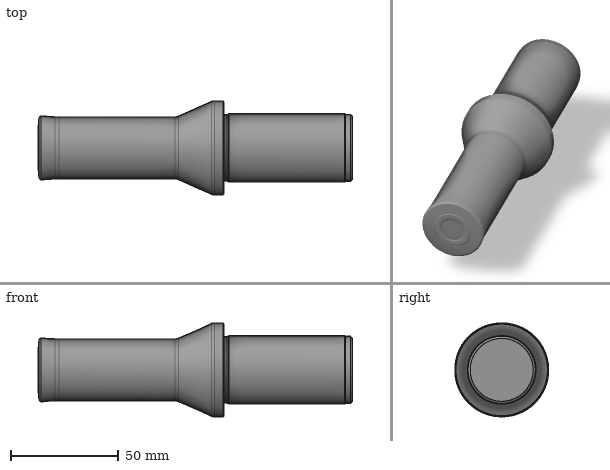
import cadquery as cq

length = 147.0
start = -length / 2

face_rise = 0.5
nose_radius = 15.0
rim_chamfer = 0.9
taper_end = 8.8
taper_blend_radius = 26.5

neck_diameter = 29.0
neck_radius = neck_diameter / 2
cone_start = 64.8
cone_end = 81.7
cone_foot_radius = 4.1
cone_edge_radius = 3.1
collar_diameter = 44.0
collar_radius = collar_diameter / 2
collar_end = 87.0
collar_chamfer = 0.6

relief_radius = 15.6
relief_floor_end = 88.0
relief_shoulder_radius = 15.7
shank_start = 89.2
shank_radius = 16.0
shank_end = 143.3
shank_chamfer = 0.5
tail_radius = 15.7
tail_chamfer = 1.0

plug_radius = 9.0
plug_depth = 5.9
plug_chamfer = 0.5
plug_ring_radius = 6.9
plug_recess_radius = 6.0
plug_dish_depth = 0.1
plug_recess_floor_radius = 5.6
plug_recess_depth = 0.5


def revolve_about_x(profile, blends=()):
    """Turn (distance from the tip, radius) points into a solid of revolution.

    Each blend is a (corner point, blend radius) pair that rounds one profile corner.
    """
    points = [cq.Vector(start + distance, radius) for distance, radius in profile]
    face = cq.Face.makeFromWires(cq.Wire.makePolygon(points, close=True))
    for (distance, radius), blend_radius in blends:
        corner = cq.Vector(start + distance, radius)
        vertex = min(face.Vertices(), key=lambda v: (v.Center() - corner).Length)
        face = face.fillet2D(blend_radius, [vertex])
    axis_start = cq.Vector(0, 0, 0)
    axis_end = cq.Vector(1, 0, 0)
    return cq.Workplane(cq.Solid.revolve(face, 360, axis_start, axis_end))


def make_mandrel():
    taper_corner = (taper_end, neck_radius)
    cone_foot = (cone_start, neck_radius)
    cone_edge = (cone_end, collar_radius)
    rim_radius = nose_radius - rim_chamfer
    profile = [
        (plug_depth, 0),
        (plug_depth, plug_radius),
        (0, plug_radius),
        (face_rise, rim_radius),
        (face_rise + rim_chamfer, nose_radius),
        taper_corner,
        cone_foot,
        cone_edge,
        (collar_end - collar_chamfer, collar_radius),
        (collar_end, collar_radius - collar_chamfer),
        (collar_end, relief_radius),
        (relief_floor_end, relief_radius),
        (shank_start - shank_chamfer, relief_shoulder_radius),
        (shank_start, shank_radius),
        (shank_end, shank_radius),
        (shank_end + shank_chamfer, tail_radius),
        (length - tail_chamfer, tail_radius),
        (length, tail_radius - tail_chamfer),
        (length, 0),
    ]
    blends = [
        (taper_corner, taper_blend_radius),
        (cone_foot, cone_foot_radius),
        (cone_edge, cone_edge_radius),
    ]
    return revolve_about_x(profile, blends)


def make_plug():
    profile = [
        (plug_recess_depth, 0),
        (plug_recess_depth, plug_recess_floor_radius),
        (plug_dish_depth, plug_recess_radius),
        (0, plug_ring_radius),
        (0, plug_radius - plug_chamfer),
        (plug_chamfer, plug_radius),
        (plug_depth, plug_radius),
        (plug_depth, 0),
    ]
    return revolve_about_x(profile)


mandrel = make_mandrel()
plug = make_plug()

result = cq.Compound.makeCompound([mandrel.val(), plug.val()])